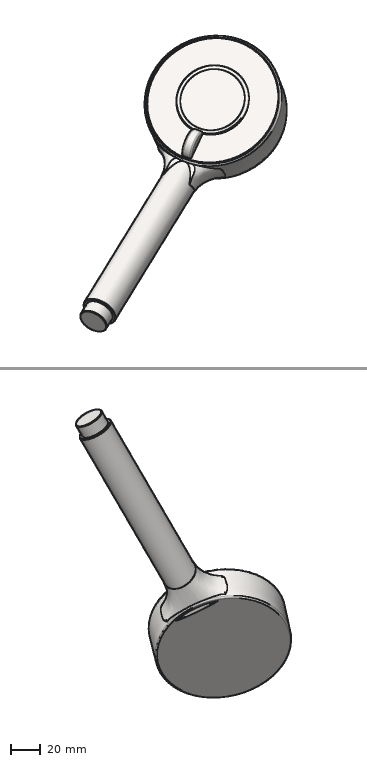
import cadquery as cq
import math

handle_diameter = 24.5
handle_radius = handle_diameter / 2
tip_radius = 10.1
tip_length = 9.5
tip_overlap = 2.5
end_chamfer = 0.5
handle_end = 154.5

head_tilt = 20.0
head_diameter = 95.0
head_radius = head_diameter / 2
back_radius = 47.0
head_thickness = 28.5
rim_fillet = 1.2
face_y = 187.8
face_z = 29.5
face_plate_radius = 45.1
rim_groove_width = 0.5
groove_depth = 0.5

ring_outer_radius = 25.0
ring_inner_radius = 22.2
ring_height = 1.5
button_height = 1.2
ring_fillet = 0.5

lever_radius = 10.6
lever_width = 7.2
lever_y = 156.7
lever_z = 16.0
lever_fillet = 1.2

neck_start = 133.3
neck_end = 154.5
neck_flare_radius = 24.1
neck_sections = 6
neck_skin = 0.2
neck_end_power = 0.6
oval_points = 24

face_plane = cq.Plane(
    origin=(0, face_y, face_z),
    xDir=(1, 0, 0),
    normal=(0, -math.sin(math.radians(head_tilt)), math.cos(math.radians(head_tilt))),
)


def bar_along_y(radius, start, end):
    """Cylinder around the Y axis between two Y positions."""
    return cq.Workplane("XZ", origin=(0, start, 0)).circle(radius).extrude(start - end)


def face_ring(outer_radius, inner_radius, height):
    """Flat ring standing on the spray face; a negative height sinks it."""
    return cq.Workplane(face_plane).circle(outer_radius).circle(inner_radius).extrude(height)


def make_handle():
    grip = bar_along_y(handle_radius, tip_length, handle_end).faces("<Y").chamfer(end_chamfer)
    tip = bar_along_y(tip_radius, 0, tip_length + tip_overlap).faces("<Y").chamfer(end_chamfer)
    return grip.union(tip)


def make_head():
    """Tapered disc with rounded rims, a groove around the plate, and the button."""
    disc = (
        cq.Workplane(face_plane)
        .circle(head_radius)
        .workplane(offset=-head_thickness)
        .circle(back_radius)
        .loft()
        .edges("%CIRCLE")
        .fillet(rim_fillet)
    )
    groove = face_ring(face_plate_radius + rim_groove_width, face_plate_radius, -groove_depth)
    ring = face_ring(ring_outer_radius, ring_inner_radius, ring_height)
    ring = ring.edges(cq.selectors.DirectionMinMaxSelector(face_plane.zDir, True)).fillet(ring_fillet)
    button = cq.Workplane(face_plane).circle(ring_inner_radius).extrude(button_height)
    return disc.cut(groove).union(ring).union(button)


def oval_wire(plane, half_width, half_height, power):
    """Closed superellipse on the given plane."""
    points = []
    for index in range(oval_points):
        angle = 2 * math.pi * index / oval_points
        across = math.cos(angle)
        upward = math.sin(angle)
        x = math.copysign(half_width * abs(across) ** power, across)
        y = math.copysign(half_height * abs(upward) ** power, upward)
        points.append(plane.toWorldCoords((x, y)))
    return cq.Wire.assembleEdges([cq.Edge.makeSpline(points, periodic=True)])


def make_neck():
    """Concave sideways flare of the handle, trimmed to lie below the spray face."""
    tilt = math.radians(head_tilt)
    section_normal = cq.Vector(0, math.cos(tilt), math.sin(tilt))
    half_height = neck_skin + handle_radius / math.cos(tilt)
    sections = []
    for index in range(neck_sections):
        fraction = index / (neck_sections - 1)
        rise = fraction * (neck_end - neck_start)
        flare_width = neck_flare_radius - math.sqrt(neck_flare_radius**2 - rise**2)
        half_width = handle_radius + neck_skin + flare_width
        power = 1 - fraction * (1 - neck_end_power)
        plane = cq.Plane(origin=(0, neck_start + rise, 0), xDir=(1, 0, 0), normal=section_normal)
        sections.append(oval_wire(plane, half_width, half_height, power))
    flare = cq.Workplane(cq.Solid.makeLoft(sections))
    span = 2 * head_diameter
    below_face = (
        cq.Workplane(face_plane)
        .workplane(offset=-rim_fillet)
        .rect(span, span)
        .extrude(-span)
    )
    return flare.intersect(below_face)


def make_lever():
    wheel = cq.Workplane("YZ").center(lever_y, lever_z).circle(lever_radius)
    return wheel.extrude(lever_width / 2, both=True).edges().fillet(lever_fillet)


result = make_head().union(make_handle()).union(make_neck()).union(make_lever())